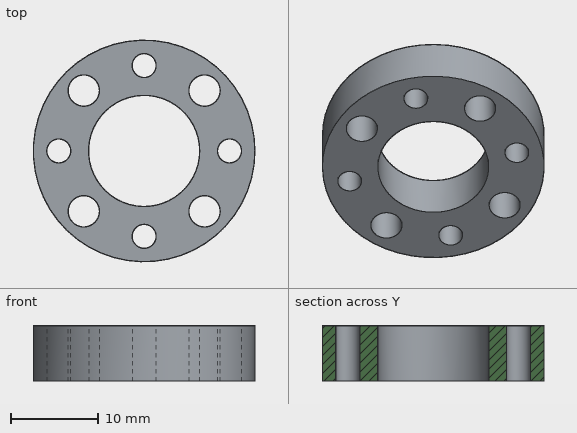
import cadquery as cq

outer_diameter = 25.4
bore_diameter = outer_diameter / 2
thickness = outer_diameter / 4

pitch_radius = 9.78
holes_per_set = 4
hole_spacing = 360 / holes_per_set
small_hole_diameter = 2.72
large_hole_diameter = 3.55


def drill_hole_set(body, diameter, start_angle):
    """Drill evenly spaced through holes on the pitch circle."""
    return (
        body.faces(">Z")
        .workplane(origin=(0, 0, 0))
        .polarArray(pitch_radius, start_angle, 360, holes_per_set)
        .hole(diameter)
    )


ring = (
    cq.Workplane("XY")
    .circle(outer_diameter / 2)
    .circle(bore_diameter / 2)
    .extrude(thickness)
)

ring = drill_hole_set(ring, small_hole_diameter, 0)
result = drill_hole_set(ring, large_hole_diameter, hole_spacing / 2)